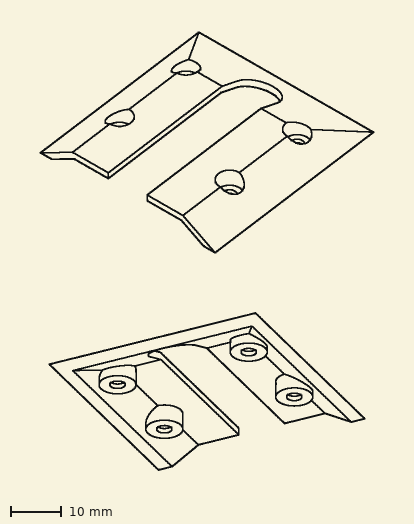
import cadquery as cq
import math

width = 45.4
length = 47.5
height = 4.95
back_y = length / 2
front_y = -length / 2

side_run = 8.35
back_run = 13.4
wall = 1.5

slot_width = 10.05
slot_end_margin = 3.95

hole_diameter = 3.0
counterbore_diameter = 5.7
boss_diameter = 7.25
counterbore_floor_z = 1.0
back_hole_x = 14.45
front_hole_x = 14.3
back_hole_y = back_y - back_run
hole_pitch_y = 20.05
front_hole_y = back_hole_y - hole_pitch_y

back_angle = math.atan2(height, back_run)
side_angle = math.atan2(height, side_run)


def sloped_block(half_width, back_edge, top_z):
    """Block with two sloped sides, a sloped back and a vertical front."""
    side_inset = top_z / math.tan(side_angle)
    back_inset = top_z / math.tan(back_angle)
    across = (
        cq.Workplane("XZ", origin=(0, front_y, 0))
        .polyline([
            (-half_width, 0),
            (half_width, 0),
            (half_width - side_inset, top_z),
            (side_inset - half_width, top_z),
        ])
        .close()
        .extrude(-length)
    )
    along = (
        cq.Workplane("YZ")
        .polyline([
            (front_y, 0),
            (back_edge, 0),
            (back_edge - back_inset, top_z),
            (front_y, top_z),
        ])
        .close()
        .extrude(half_width, both=True)
    )
    return across.intersect(along)


def cylinders(points, diameter, bottom_z):
    """Vertical cylinders from bottom_z to the top of the part."""
    return (
        cq.Workplane("XY", origin=(0, 0, bottom_z))
        .pushPoints(points)
        .circle(diameter / 2)
        .extrude(height - bottom_z)
    )


def slot_cutter():
    """Vertical slot through the flat top joined to a tilted round-ended slot in the slope."""
    radius = slot_width / 2
    end_inset = slot_end_margin + radius * math.cos(back_angle)
    slope_plane = cq.Plane(
        origin=(0, back_y - end_inset, end_inset * math.tan(back_angle)),
        xDir=(1, 0, 0),
        normal=(0, math.sin(back_angle), math.cos(back_angle)),
    )
    straight_length = (back_run - end_inset) / math.cos(back_angle)
    tilted = (
        cq.Workplane(slope_plane)
        .moveTo(-radius, -straight_length)
        .lineTo(-radius, 0)
        .threePointArc((0, radius), (radius, 0))
        .lineTo(radius, -straight_length)
        .close()
        .extrude(height, both=True)
    )
    flat_length = length - back_run
    straight = cq.Workplane("XY").box(
        slot_width, flat_length, height, centered=(True, False, False)
    )
    return tilted.union(straight.translate((0, front_y, 0)))


hole_points = [
    (side * x, y)
    for side in (-1, 1)
    for x, y in ((back_hole_x, back_hole_y), (front_hole_x, front_hole_y))
]

outer = sloped_block(width / 2, back_y, height)
cavity = sloped_block(
    width / 2 - wall / math.sin(side_angle),
    back_y - wall / math.sin(back_angle),
    height - wall,
)

shell = outer.cut(cavity.cut(cylinders(hole_points, boss_diameter, 0)))

result = (
    shell.cut(slot_cutter())
    .cut(cylinders(hole_points, counterbore_diameter, counterbore_floor_z))
    .cut(cylinders(hole_points, hole_diameter, 0))
)